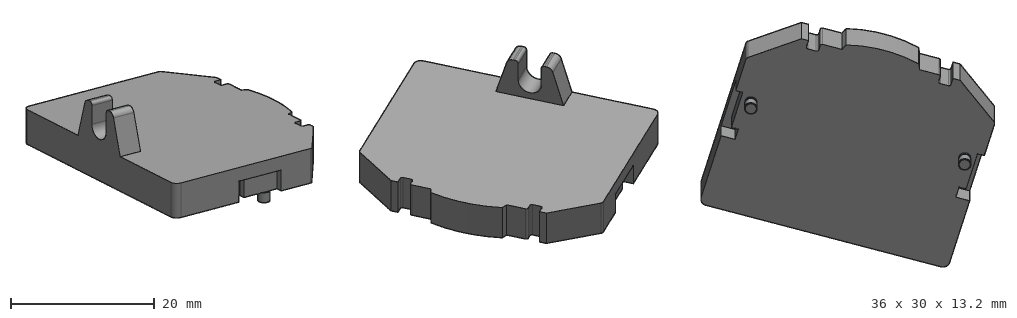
import cadquery as cq

WIDTH = 36.0
DEPTH = 30.0
PLATE_THICKNESS = 5.2
FRONT_CORNER_RADIUS = 1.0

SHELF_DROP = 1.5
SHOULDER_DROP = 6.5
SHELF_HALF_WIDTH = 11.5
SHOULDER_RADIUS = 0.5
ARCH_BASE_HALF_WIDTH = 5.6
ARCH_END_HALF_WIDTH = 5.25
ARCH_END_DROP = 0.7

REAR_SLOT_OFFSET = 9.58
REAR_SLOT_WIDTH = 1.75
REAR_SLOT_DEPTH = 1.25
REAR_SLOT_RADIUS = 0.3

LUG_HEIGHT = 6.0
LUG_DEPTH = 3.5
LUG_BASE_HALF_WIDTH = 5.0
LUG_TOP_HALF_WIDTH = 3.2
LUG_OUTER_RADIUS = 1.0
LUG_INNER_RADIUS = 0.5
FORK_WIDTH = 3.4
FORK_DEPTH = 5.0

NOTCH_FRONT = 10.95
NOTCH_STEP = 12.55
NOTCH_REAR = 18.2
NOTCH_HEIGHT = 3.15
NOTCH_SHALLOW_DEPTH = 1.0
NOTCH_DEEP_DEPTH = 2.0

PIN_OFFSET = 15.48
PIN_Y = 17.05
PIN_DIAMETER = 1.75
PIN_LENGTH = 2.0
PIN_COLLAR_DIAMETER = 1.7
PIN_COLLAR_LENGTH = 0.45
PIN_CHAMFER = 0.1

SIDES = (-1, 1)


def make_plate():
    """Plate with an arched rear edge and slanted rear corners."""
    half_width = WIDTH / 2
    shelf_y = DEPTH - SHELF_DROP
    shoulder_y = DEPTH - SHOULDER_DROP
    arch_end_y = DEPTH - ARCH_END_DROP
    plate = (
        cq.Workplane("XY")
        .moveTo(-half_width, 0)
        .lineTo(half_width, 0)
        .lineTo(half_width, shoulder_y)
        .lineTo(SHELF_HALF_WIDTH, shelf_y)
        .lineTo(ARCH_BASE_HALF_WIDTH, shelf_y)
        .lineTo(ARCH_END_HALF_WIDTH, arch_end_y)
        .threePointArc((0, DEPTH), (-ARCH_END_HALF_WIDTH, arch_end_y))
        .lineTo(-ARCH_BASE_HALF_WIDTH, shelf_y)
        .lineTo(-SHELF_HALF_WIDTH, shelf_y)
        .lineTo(-half_width, shoulder_y)
        .close()
        .extrude(PLATE_THICKNESS)
    )
    plate = plate.edges("|Z and <Y").fillet(FRONT_CORNER_RADIUS)
    for side in SIDES:
        shoulder = cq.selectors.NearestToPointSelector((side * half_width, shoulder_y, PLATE_THICKNESS / 2))
        plate = plate.edges(shoulder).fillet(SHOULDER_RADIUS)
    return plate


def make_rear_slot(side):
    """Cutter for a slot with a rounded bottom, open at the rear shelf."""
    cutter_length = 2 * REAR_SLOT_DEPTH
    return (
        cq.Workplane("XY")
        .center(side * REAR_SLOT_OFFSET, DEPTH - SHELF_DROP)
        .rect(REAR_SLOT_WIDTH, cutter_length)
        .extrude(PLATE_THICKNESS)
        .edges("|Z and <Y")
        .fillet(REAR_SLOT_RADIUS)
    )


def round_slot_mouth(plate, side):
    """Round the mouth edge of a rear slot that is nearer the arch."""
    mouth_x = side * (REAR_SLOT_OFFSET - REAR_SLOT_WIDTH / 2)
    mouth = cq.selectors.NearestToPointSelector((mouth_x, DEPTH - SHELF_DROP, PLATE_THICKNESS / 2))
    return plate.edges(mouth).fillet(REAR_SLOT_RADIUS)


def make_lug():
    """Tapered lug with a round-bottomed fork opening."""
    top_z = PLATE_THICKNESS + LUG_HEIGHT
    fork_radius = FORK_WIDTH / 2
    fork_bottom_z = top_z - FORK_DEPTH
    fork_arc_z = fork_bottom_z + fork_radius
    lug = (
        cq.Workplane("XZ")
        .moveTo(-LUG_BASE_HALF_WIDTH, PLATE_THICKNESS)
        .lineTo(LUG_BASE_HALF_WIDTH, PLATE_THICKNESS)
        .lineTo(LUG_TOP_HALF_WIDTH, top_z)
        .lineTo(fork_radius, top_z)
        .lineTo(fork_radius, fork_arc_z)
        .threePointArc((0, fork_bottom_z), (-fork_radius, fork_arc_z))
        .lineTo(-fork_radius, top_z)
        .lineTo(-LUG_TOP_HALF_WIDTH, top_z)
        .close()
        .extrude(-LUG_DEPTH)
    )
    for side in SIDES:
        outer = cq.selectors.NearestToPointSelector((side * LUG_TOP_HALF_WIDTH, LUG_DEPTH / 2, top_z))
        lug = lug.edges(outer).fillet(LUG_OUTER_RADIUS)
        inner = cq.selectors.NearestToPointSelector((side * fork_radius, LUG_DEPTH / 2, top_z))
        lug = lug.edges(inner).fillet(LUG_INNER_RADIUS)
    return lug


def make_side_notch(side):
    """Cutter for a side notch, open downward and deeper at its front end."""
    outer_x = side * WIDTH / 2
    shallow_x = outer_x - side * NOTCH_SHALLOW_DEPTH
    deep_x = outer_x - side * NOTCH_DEEP_DEPTH
    return (
        cq.Workplane("XY")
        .moveTo(outer_x, NOTCH_FRONT)
        .lineTo(deep_x, NOTCH_FRONT)
        .lineTo(deep_x, NOTCH_STEP)
        .lineTo(shallow_x, NOTCH_STEP)
        .lineTo(shallow_x, NOTCH_REAR)
        .lineTo(outer_x, NOTCH_REAR)
        .close()
        .extrude(NOTCH_HEIGHT)
    )


def make_pin(side):
    """Pin below the plate with a narrower collar and a chamfered tip."""
    return (
        cq.Workplane("XY")
        .center(side * PIN_OFFSET, PIN_Y)
        .circle(PIN_COLLAR_DIAMETER / 2)
        .extrude(-PIN_COLLAR_LENGTH)
        .faces("<Z")
        .workplane()
        .circle(PIN_DIAMETER / 2)
        .extrude(PIN_LENGTH - PIN_COLLAR_LENGTH)
        .faces("<Z")
        .chamfer(PIN_CHAMFER)
    )


result = make_plate().union(make_lug())
for side in SIDES:
    result = result.cut(make_rear_slot(side))
    result = round_slot_mouth(result, side)
    result = result.cut(make_side_notch(side))
    result = result.union(make_pin(side))